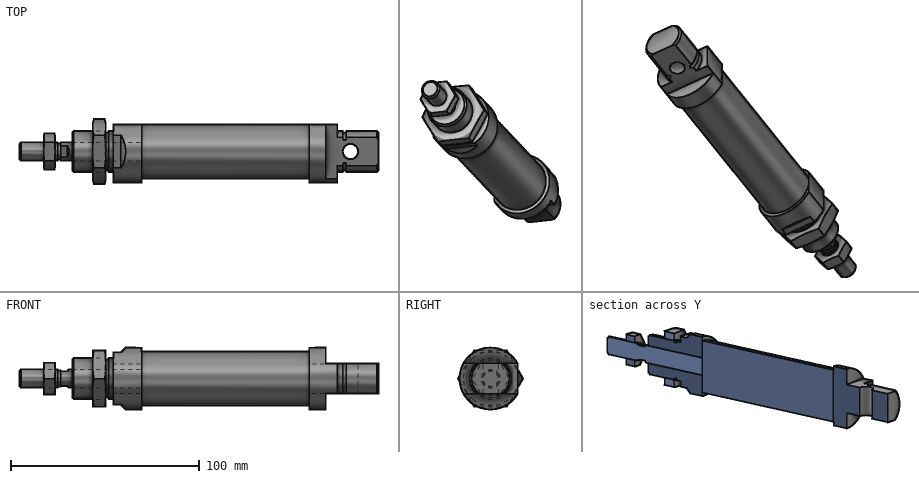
import cadquery as cq
import math


rod_thread_end = 22.0
neck_start = 28.0
front_cap_start = 50.0
barrel_start = 65.0
rear_cap_start = 154.0
lug_start = 169.0
pivot_x = 176.0
lug_end = 191.0

rod_diameter = 10.0
rod_tip_chamfer = 1.0
rod_groove_diameter = 8.8
rod_groove_length = 1.6
wrench_flat_width = 8.0
wrench_flat_length = 3.5

rod_nut_start = 13.0
rod_nut_width = 17.0
rod_nut_thickness = 6.0
neck_nut_start = 39.0
neck_nut_width = 30.0
neck_nut_thickness = 7.0
nut_chamfer_angle = 15.0

thread_diameter = 22.0
thread_chamfer = 1.0
relief_diameter = 20.0
neck_relief_x = 46.5
lug_relief_x = 172.9

barrel_diameter = 29.0
cap_diameter = 33.0
cap_flat_y = barrel_diameter / 2
cap_flat_width = 28.0
cap_flat_length = 4.0
lug_thickness = 16.0
lug_flat_start = 163.0
pivot_diameter = 8.0

clearance = 25.0


def bar(diameter, start, end):
    """Round bar on the X axis between two stations."""
    return cq.Workplane("YZ", origin=(start, 0, 0)).circle(diameter / 2).extrude(end - start)


def ring(outer_diameter, inner_diameter, start, end):
    """Ring on the X axis, used to cut a groove."""
    return bar(outer_diameter, start, end).cut(bar(inner_diameter, start, end))


def round_relief(x):
    """Half-round groove ring for a threaded diameter, centred at one station."""
    groove_radius = (thread_diameter - relief_diameter) / 2
    return (
        cq.Workplane("XY")
        .center(x, thread_diameter / 2)
        .circle(groove_radius)
        .revolve(360, (0, -thread_diameter / 2, 0), (1, -thread_diameter / 2, 0))
    )


def beyond_flats(width, start, end, sloped_end=False):
    """Material outside two flats facing +Z and -Z; the far end is square or slopes at 45 degrees."""
    half_width = width / 2
    run = clearance - half_width if sloped_end else 0
    above = (
        cq.Workplane("XZ")
        .moveTo(start, half_width)
        .lineTo(end, half_width)
        .lineTo(end + run, clearance)
        .lineTo(start, clearance)
        .close()
        .extrude(clearance, both=True)
    )
    return above.union(above.mirror("XY"))


def beyond_side_flat(start, end):
    """Material outside the flat that levels a cap with the barrel on its +Y side."""
    length = end - start
    return cq.Workplane("XY").box(
        length, clearance, 2 * clearance, centered=(False, False, True)
    ).translate((start, cap_flat_y, 0))


def make_rod():
    rod = bar(rod_diameter, 0, barrel_start).faces("<X").chamfer(rod_tip_chamfer)
    groove_start = rod_thread_end - rod_groove_length
    rod = rod.cut(ring(rod_diameter, rod_groove_diameter, groove_start, rod_thread_end))
    flat_end = rod_thread_end + wrench_flat_length
    return rod.cut(beyond_flats(wrench_flat_width, rod_thread_end, flat_end, sloped_end=True))


def make_nut(start, width, thickness, bore_diameter):
    """Hexagon nut with corners on the Y axis and both ends chamfered by a cone."""
    corner_radius = width / math.sqrt(3)
    face_radius = width / 2
    depth = (corner_radius - face_radius) * math.tan(math.radians(nut_chamfer_angle))
    envelope = (
        cq.Workplane("XY")
        .moveTo(0, 0)
        .lineTo(0, face_radius)
        .lineTo(depth, corner_radius)
        .lineTo(thickness - depth, corner_radius)
        .lineTo(thickness, face_radius)
        .lineTo(thickness, 0)
        .close()
        .revolve(360, (0, 0, 0), (1, 0, 0))
    )
    prism = cq.Workplane("YZ").polygon(6, 2 * corner_radius).extrude(thickness)
    return prism.intersect(envelope).translate((start, 0, 0)).cut(
        bar(bore_diameter, start, start + thickness)
    )


def make_front_cap():
    flange = bar(cap_diameter, front_cap_start, barrel_start)
    flange = flange.cut(beyond_side_flat(front_cap_start, barrel_start))
    flat_end = front_cap_start + cap_flat_length
    flange = flange.cut(beyond_flats(cap_flat_width, front_cap_start, flat_end, sloped_end=True))

    neck = bar(thread_diameter, neck_start, front_cap_start).faces("<X").chamfer(thread_chamfer)
    neck = neck.cut(round_relief(neck_relief_x))
    return flange.union(neck).cut(bar(rod_diameter, neck_start, barrel_start))


def make_rear_cap():
    flange = bar(cap_diameter, rear_cap_start, lug_start)
    flange = flange.cut(beyond_side_flat(rear_cap_start, lug_start))

    lug = bar(thread_diameter, lug_start, lug_end).faces(">X").chamfer(thread_chamfer)
    lug = lug.cut(round_relief(lug_relief_x))

    cap = flange.union(lug).cut(beyond_flats(lug_thickness, lug_flat_start, lug_end))
    pivot_hole = (
        cq.Workplane("XY")
        .center(pivot_x, 0)
        .circle(pivot_diameter / 2)
        .extrude(lug_thickness, both=True)
    )
    return cap.cut(pivot_hole)


rod = make_rod()
rod_nut = make_nut(rod_nut_start, rod_nut_width, rod_nut_thickness, rod_diameter)
front_cap = make_front_cap()
neck_nut = make_nut(neck_nut_start, neck_nut_width, neck_nut_thickness, thread_diameter)
barrel = bar(barrel_diameter, barrel_start, rear_cap_start)
rear_cap = make_rear_cap()

result = cq.Compound.makeCompound(
    [rod.val(), rod_nut.val(), front_cap.val(), neck_nut.val(), barrel.val(), rear_cap.val()]
)